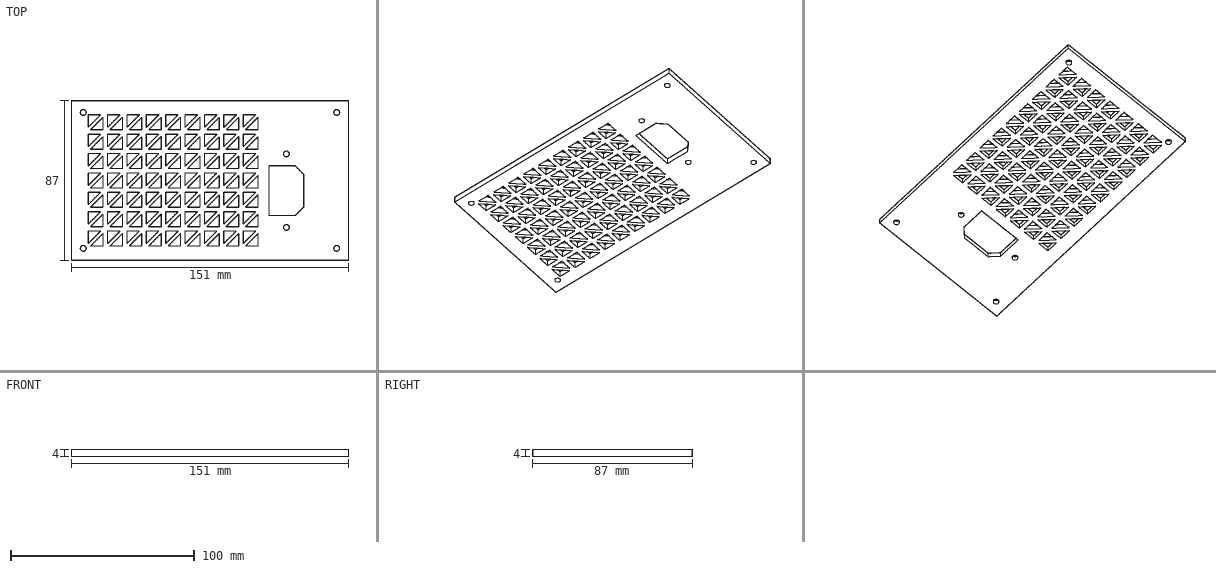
import cadquery as cq

plate_length = 151.0
plate_width = 87.0
plate_thickness = 4.0

screw_diameter = 3.0
corner_inset = 6.5

grille_columns = 9
grille_rows = 7
grille_length = 92.4
grille_left_margin = 9.2
cell_size = 8.0
triangle_leg = 6.6

inlet_left_margin = 107.7
inlet_length = 18.9
inlet_width = 27.0
inlet_chamfer = 4.7
inlet_center_y = -5.6
inlet_screw_spacing = 40.0

plate_left = -plate_length / 2
cell_pitch = (grille_length - cell_size) / (grille_columns - 1)
grille_center_x = plate_left + grille_left_margin + grille_length / 2
inlet_center_x = plate_left + inlet_left_margin + inlet_length / 2


def triangle_cutters(corner_x, corner_y, leg):
    """Right triangles, one in every grille cell.

    The right angle sits at (corner_x, corner_y) from the cell centre. The
    legs run toward +X and -Y, or toward -X and +Y if leg is negative.
    """
    triangle = (
        cq.Workplane("XY")
        .moveTo(corner_x, corner_y)
        .lineTo(corner_x + leg, corner_y)
        .lineTo(corner_x, corner_y - leg)
        .close()
        .extrude(plate_thickness)
    )
    return (
        cq.Workplane("XY")
        .center(grille_center_x, 0)
        .rarray(cell_pitch, cell_pitch, grille_columns, grille_rows)
        .eachpoint(triangle.val(), combine=False)
    )


def inlet_cutter():
    """Through opening for the inlet, chamfered at its two +X corners."""
    return (
        cq.Workplane("XY")
        .center(inlet_center_x, inlet_center_y)
        .rect(inlet_length, inlet_width)
        .extrude(plate_thickness)
        .edges("|Z and >X")
        .chamfer(inlet_chamfer)
    )


def screw_cutters():
    """Screw holes at the plate corners and on both sides of the inlet."""
    corner_x = plate_length / 2 - corner_inset
    corner_y = plate_width / 2 - corner_inset
    centers = [(x, y) for x in (-corner_x, corner_x) for y in (-corner_y, corner_y)]
    for side in (-1, 1):
        centers.append((inlet_center_x, inlet_center_y + side * inlet_screw_spacing / 2))
    return (
        cq.Workplane("XY")
        .pushPoints(centers)
        .circle(screw_diameter / 2)
        .extrude(plate_thickness, combine=False)
    )


plate = cq.Workplane("XY").box(
    plate_length, plate_width, plate_thickness, centered=(True, True, False)
)

half_cell = cell_size / 2
cutters = (
    triangle_cutters(-half_cell, half_cell, triangle_leg).vals()
    + triangle_cutters(half_cell, -half_cell, -triangle_leg).vals()
    + inlet_cutter().vals()
    + screw_cutters().vals()
)

result = cq.Workplane("XY").newObject(plate.val().cut(*cutters).Solids())